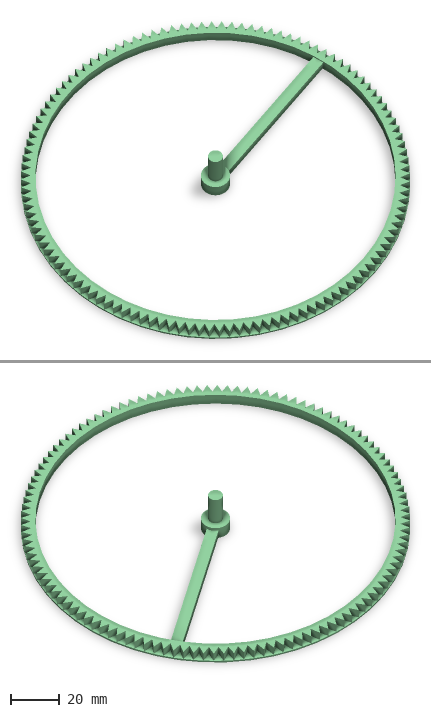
import cadquery as cq
import math

outer_diameter = 160.0
bore_diameter = 148.0
ring_height = 5.0

tooth_count = 120
tooth_depth = 4.0
flange_thickness = 1.0

hub_diameter = 12.0
hub_height = 5.6
pin_diameter = 6.0
overall_height = 18.7

spoke_width = 5.0
spoke_height = 3.5
spoke_bottom = 0.6

outer_radius = outer_diameter / 2
bore_radius = bore_diameter / 2
root_radius = outer_radius - tooth_depth


def disc(diameter, height):
    return cq.Workplane("XY").circle(diameter / 2).extrude(height)


def polar_point(radius, angle):
    return (radius * math.cos(angle), radius * math.sin(angle))


def toothed_rim():
    """Pointed teeth with straight flanks, one of them centred on +X."""
    half_pitch = math.pi / tooth_count
    outline = []
    for tooth in range(tooth_count):
        tip_angle = 2 * half_pitch * tooth
        outline.append(polar_point(outer_radius, tip_angle))
        outline.append(polar_point(root_radius, tip_angle + half_pitch))
    return cq.Workplane("XY").polyline(outline).close().extrude(ring_height)


def ring():
    flange = disc(outer_diameter, flange_thickness)
    return toothed_rim().union(flange).cut(disc(bore_diameter, ring_height))


def spoke():
    length = (bore_radius + root_radius) / 2
    return (
        cq.Workplane("XY")
        .rect(spoke_width, length)
        .extrude(spoke_height)
        .translate((0, length / 2, spoke_bottom))
    )


hub = disc(hub_diameter, hub_height)
pin = disc(pin_diameter, overall_height)

result = ring().union(spoke()).union(hub).union(pin)